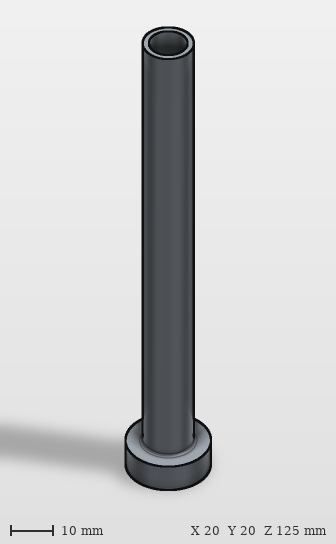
import cadquery as cq

TOTAL_LENGTH = 125.0
HEAD_DIAMETER = 20.0
HEAD_HEIGHT = 7.0
SHAFT_DIAMETER = 12.0
BORE_DIAMETER = 9.0
NECK_FILLET_RADIUS = 0.7

head_radius = HEAD_DIAMETER / 2
shaft_radius = SHAFT_DIAMETER / 2
bore_radius = BORE_DIAMETER / 2


def make_sleeve():
    """Headed sleeve with its axis along Z and the base of the head at Z = 0."""
    head = cq.Workplane("XY").circle(head_radius).extrude(HEAD_HEIGHT)
    shaft = cq.Workplane("XY").circle(shaft_radius).extrude(TOTAL_LENGTH)
    return head.union(shaft)


def fillet_neck(body):
    """Round the inside corner where the shaft meets the top of the head."""
    neck = cq.selectors.RadiusNthSelector(0)
    return body.faces("<Z[1]").edges(neck).fillet(NECK_FILLET_RADIUS)


def cut_bore(body):
    """Cut the straight bore through the full length."""
    bore = cq.Workplane("XY").circle(bore_radius).extrude(TOTAL_LENGTH)
    return body.cut(bore)


result = cut_bore(fillet_neck(make_sleeve()))